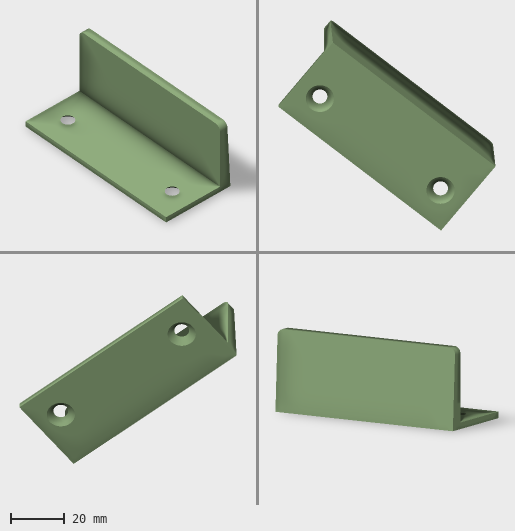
import cadquery as cq

length = 77.3
depth = 32.2
height = 31.1

base_thickness = 2.5
wall_foot_thickness = 5.25
wall_top_thickness = 3.6
corner_radius = 2.5

hole_top_diameter = 5.5
hole_end_distance = 10.0
hole_front_distance = 12.1

wall_front = depth - wall_foot_thickness
wall_top_back = wall_front + wall_top_thickness


def angle_body():
    """L-shaped profile in the YZ plane, swept along X; the back leans forward."""
    profile = [
        (0, 0),
        (depth, 0),
        (wall_top_back, height),
        (wall_front, height),
        (wall_front, base_thickness),
        (0, base_thickness),
    ]
    return cq.Workplane("YZ").polyline(profile).close().extrude(length)


def rounded_envelope():
    """Block whose two upper end corners are rounded along Y."""
    block = cq.Workplane("XY").box(length, depth, height, centered=False)
    return block.edges("|Y and >Z").fillet(corner_radius)


def mounting_holes():
    """45-degree conical holes near each end of the base flange, widening toward the underside."""
    centers = [
        (hole_end_distance, hole_front_distance),
        (length - hole_end_distance, hole_front_distance),
    ]
    mouth_radius = hole_top_diameter / 2 + base_thickness
    cone = cq.Solid.makeCone(mouth_radius, hole_top_diameter / 2, base_thickness)
    return cq.Workplane("XY").pushPoints(centers).eachpoint(lambda place: cone.moved(place))


result = angle_body().intersect(rounded_envelope()).cut(mounting_holes())